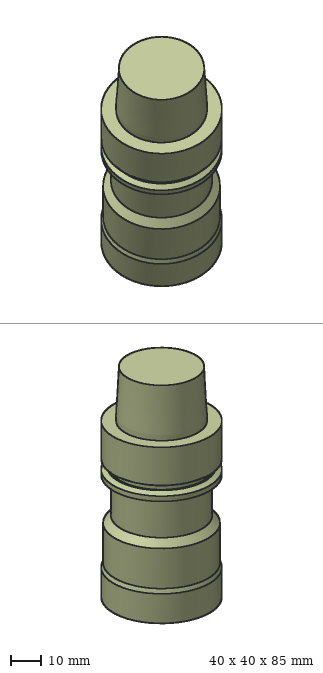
import cadquery as cq

total_height = 85.0
flange_diameter = 40.0

collar_height = 11.0
collar_chamfer_top = 12.6
body_diameter = 38.8
body_top = 27.4

neck_diameter = 33.6
neck_bottom = 30.1

flange_bottom = 45.05
groove_lower_edge = 47.0
groove_floor_bottom = 48.1
groove_floor_top = 49.9
groove_upper_edge = 51.0
groove_diameter = 34.8
groove_mouth_diameter = 36.0
flange_top = 65.0

shank_diameter = 30.2
shank_straight_top = 67.15
shank_tip_diameter = 28.3

corners = [
    (flange_diameter, 0),
    (flange_diameter, collar_height),
    (body_diameter, collar_chamfer_top),
    (body_diameter, body_top),
    (neck_diameter, neck_bottom),
    (neck_diameter, flange_bottom),
    (flange_diameter, flange_bottom),
    (flange_diameter, groove_lower_edge),
    (groove_mouth_diameter, groove_floor_bottom),
    (groove_diameter, groove_floor_bottom),
    (groove_diameter, groove_floor_top),
    (groove_mouth_diameter, groove_floor_top),
    (flange_diameter, groove_upper_edge),
    (flange_diameter, flange_top),
    (shank_diameter, flange_top),
    (shank_diameter, shank_straight_top),
    (shank_tip_diameter, total_height),
]

half_outline = cq.Workplane("XZ").moveTo(0, 0)
for diameter, height in corners:
    half_outline = half_outline.lineTo(diameter / 2, height)
half_outline = half_outline.lineTo(0, total_height).close()

result = half_outline.revolve(360, (0, 0, 0), (0, 1, 0))